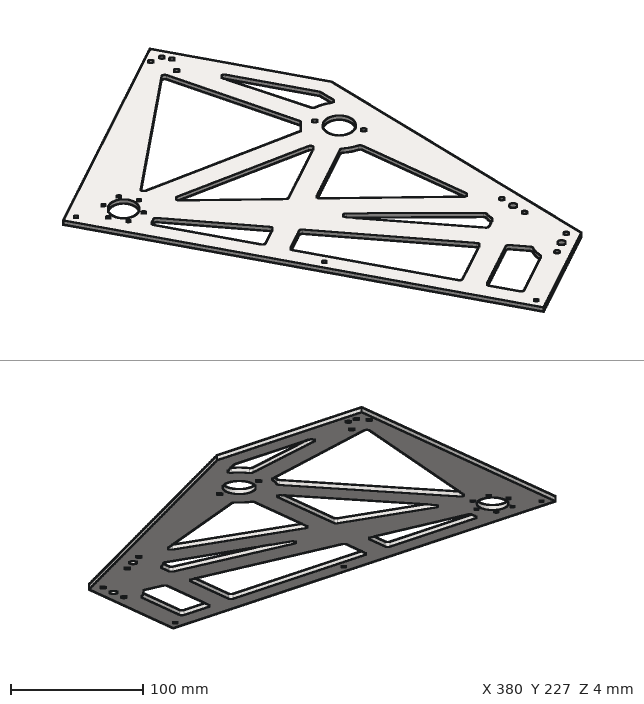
import cadquery as cq
import math

length = 380.0
width = 227.0
thickness = 4.0
top_edge_length = 143.5
right_edge_height = 98.8

lower_hub = (39.5, 27.5)
lower_bore = 24.0
lower_bolt_circle_radius = 16.0
lower_bolt_count = 6
lower_bolt_hole = 3.2
upper_hub = (165.3, 175.5)
upper_bore = 25.0
upper_bolt_offset = 19.5
upper_land_radius = 29.3

slant_mount = (320.7, 116.5)
right_mount = (369.5, 82.5)
slant_angle = math.degrees(math.atan2(right_edge_height - width, length - top_edge_length))
mount_pin_hole = 6.0
mount_screw_offset = 12.0
mount_land_radius = 22.8

screw_hole = 4.0
corner_screws = [(5.5, 211.5), (11.8, 219.3), (19.8, 219.3), (27.5, 206.5)]
base_hole = 3.25
base_hole_y = 7.2
base_hole_xs = [8.0, 204.5, 372.0]

base_rail = 14.5
post_left = 155.0
post_right = 174.8
end_post_left = 311.0
end_post_right = 330.2
window_corner_radius = 2.47


def window(corners, land_center=None, land_radius=None):
    """Through-cutter with rounded corners, optionally trimmed around a round land."""
    cutter = cq.Workplane("XY").polyline(corners).close().extrude(thickness)
    if land_center:
        land = cq.Workplane("XY").center(*land_center).circle(land_radius).extrude(thickness)
        cutter = cutter.cut(land)
    return cutter.edges("|Z").fillet(window_corner_radius)


def holes(points, diameter):
    return cq.Workplane("XY").pushPoints(points).circle(diameter / 2).extrude(thickness)


def polar(center, radius, angle):
    """Point at a given radius and angle in degrees around a center."""
    turn = math.radians(angle)
    return (center[0] + radius * math.cos(turn), center[1] + radius * math.sin(turn))


def opposite_pair(center, offset, angle):
    return [polar(center, offset, angle), polar(center, offset, angle + 180)]


plate = (
    cq.Workplane("XY")
    .polyline([(0, 0), (length, 0), (length, right_edge_height), (top_edge_length, width), (0, width)])
    .close()
    .extrude(thickness)
)

windows = [
    window([(41.0, 212.0), (139.0, 212.0), (163.0, 199.0), (163.0, 186.0)], upper_hub, upper_land_radius),
    window([(18.0, 199.5), (147.0, 169.5), (45.5, 50.0)], upper_hub, upper_land_radius),
    window([(post_left, 149.0), (post_left, 75.2), (68.5, 47.0)]),
    window([(post_right, 161.5), (288.5, 119.0), (post_right, 82.0)], upper_hub, upper_land_radius),
    window([(end_post_left, 104.0), (end_post_left, 84.5), (166.0, 59.3)], slant_mount, mount_land_radius),
    window([(65.0, base_rail), (post_left, base_rail), (post_left, 38.0), (65.0, 23.0)]),
    window([(post_right, base_rail), (end_post_left, base_rail), (end_post_left, 64.0), (post_right, 41.0)]),
    window(
        [(end_post_right, base_rail), (359.5, base_rail), (359.5, 72.5), (end_post_right, 67.5)],
        right_mount,
        mount_land_radius,
    ),
]

lower_bolts = [
    polar(lower_hub, lower_bolt_circle_radius, i * 360 / lower_bolt_count) for i in range(lower_bolt_count)
]
screws = (
    corner_screws
    + opposite_pair(upper_hub, upper_bolt_offset, 0)
    + opposite_pair(slant_mount, mount_screw_offset, slant_angle)
    + opposite_pair(right_mount, mount_screw_offset, 90)
)
round_holes = [
    holes([lower_hub], lower_bore),
    holes(lower_bolts, lower_bolt_hole),
    holes([upper_hub], upper_bore),
    holes([slant_mount, right_mount], mount_pin_hole),
    holes(screws, screw_hole),
    holes([(x, base_hole_y) for x in base_hole_xs], base_hole),
]

result = plate
for cutter in windows + round_holes:
    result = result.cut(cutter)